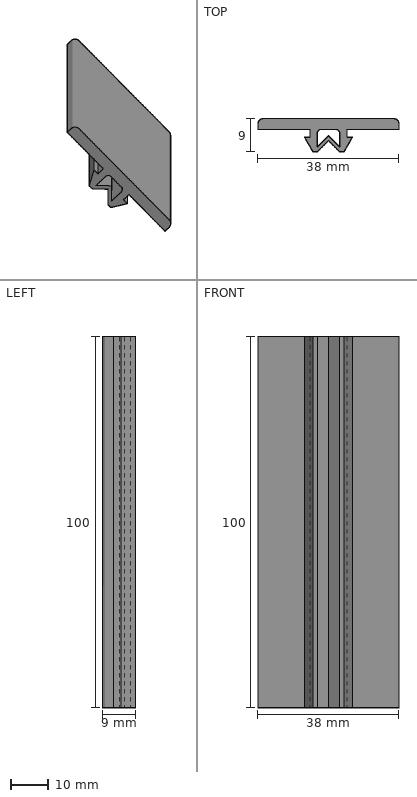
import cadquery as cq

length = 100.0
plate_width = 38.0
plate_thickness = 3.0
plate_corner_radius = 1.5
total_depth = 9.0

leg_outer_x = 5.0
leg_thickness = 2.0
barb_tip_x = 6.5
barb_depth = 5.0
leg_end_outer_x = 4.2
web_apex_depth = 6.0
web_depth_along_y = 1.4
cavity_corner_radius = 1.0

back_y = total_depth / 2
plate_front_y = back_y - plate_thickness
barb_y = back_y - barb_depth
leg_end_y = -total_depth / 2
web_apex_y = back_y - web_apex_depth

leg_inner_x = leg_outer_x - leg_thickness


def make_plate():
    """Cover plate with its two rear long edges rounded."""
    plate = cq.Workplane("XY").box(plate_width, plate_thickness, length)
    plate = plate.translate((0, back_y - plate_thickness / 2, 0))
    return plate.edges("|Z and >Y").fillet(plate_corner_radius)


def make_clip():
    """Two barbed legs joined by a V-shaped web."""
    right_side = [
        (leg_inner_x, leg_end_y),
        (leg_end_outer_x, leg_end_y),
        (barb_tip_x, barb_y),
        (leg_outer_x, barb_y),
        (leg_outer_x, plate_front_y),
    ]
    left_side = [(-x, y) for x, y in reversed(right_side)]
    outline = [(0, web_apex_y)] + right_side + left_side
    return cq.Workplane("XY").polyline(outline).close().extrude(length / 2, both=True)


def make_cavity():
    """Closed channel between the plate, the legs and the web."""
    web_foot_y = leg_end_y + web_depth_along_y
    outline = [
        (-leg_inner_x, plate_front_y),
        (leg_inner_x, plate_front_y),
        (leg_inner_x, web_foot_y),
        (0, web_apex_y + web_depth_along_y),
        (-leg_inner_x, web_foot_y),
    ]
    cavity = cq.Workplane("XY").polyline(outline).close().extrude(length / 2, both=True)
    return cavity.faces(">Y").edges("|Z").fillet(cavity_corner_radius)


result = make_plate().union(make_clip()).cut(make_cavity())